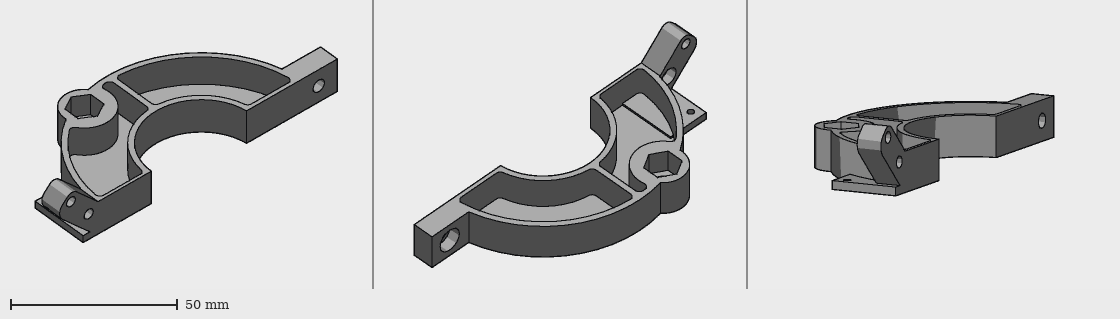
import cadquery as cq

outer_radius = 42.0
inner_radius = 20.1
body_height = 12.7
wall = 2.0
floor_thickness = 2.0
upper_end_x = -2.0
lower_end_x = 0
upper_end_wall = 1.5
lower_end_wall = 1.1
pocket_corner_radius = 1.7

boss_x = -35.9
boss_y = -15.0
boss_radius = 8.0
bolt_diameter = 6.5
nut_across_corners = 11.9
nut_depth = 7.9

block_width = 7.6
block_end_y = 56.4
block_start_y = 40.6
block_hole_y = 49.0
block_hole_diameter = 4.5
block_bore_diameter = 8.0
block_bore_depth = 4.0

plate_length = 21.6
plate_start_y = -32.4
plate_end_y = -47.5
plate_thickness = 2.7
plate_hole_x = -18.1
plate_hole_y = -44.4
plate_hole_diameter = 2.2

lug_width = 8.0
lug_root_y = -40.6
lug_top_y = -41.5
lug_foot_y = -44.8
lug_tip_diff = 75.1
lug_upper_radius = 2.6
lug_lower_radius = 4.1
lug_pivot_y = -45.2
lug_pivot_z = 10.0
lug_pivot_diameter = 3.6
lug_bore_diameter = 6.0
lug_bore_depth = 3.4
lug_tip_hole_y = -52.4
lug_tip_hole_z = 18.7
lug_tip_hole_diameter = 3.5


def box(x_min, x_max, y_min, y_max, z_min, z_max):
    size = (x_max - x_min, y_max - y_min, z_max - z_min)
    return cq.Workplane("XY").box(*size, centered=False).translate((x_min, y_min, z_min))


def cylinder(x, y, z, radius, height):
    return cq.Workplane("XY", origin=(x, y, z)).circle(radius).extrude(height)


def x_cylinder(x, y, z, diameter, depth):
    """Cylinder running from x towards +X."""
    return cq.Workplane("YZ", origin=(x, y, z)).circle(diameter / 2).extrude(depth)


def ring(radius_out, radius_in, z_min):
    profile = cq.Workplane("XY", origin=(0, 0, z_min)).circle(radius_out).circle(radius_in)
    return profile.extrude(body_height - z_min)


def make_body():
    full_ring = ring(outer_radius, inner_radius, 0)
    upper = full_ring.intersect(box(-outer_radius, upper_end_x, 0, outer_radius, 0, body_height))
    lower = full_ring.intersect(box(-outer_radius, lower_end_x, -outer_radius, 0, 0, body_height))
    return upper.union(lower)


def make_pockets():
    channel = ring(outer_radius - wall, inner_radius + wall, floor_thickness)
    upper = channel.intersect(
        box(-outer_radius, upper_end_x - upper_end_wall, wall / 2, outer_radius, 0, body_height)
    )
    lower = channel.intersect(
        box(-outer_radius, lower_end_x - lower_end_wall, -outer_radius, -wall / 2, 0, body_height)
    )
    lower = lower.cut(cylinder(boss_x, boss_y, 0, boss_radius + wall, body_height))
    upper = upper.edges("|Z").fillet(pocket_corner_radius)
    lower = lower.edges("|Z").fillet(pocket_corner_radius)
    return upper.union(lower)


def make_plate():
    return box(lower_end_x - plate_length, lower_end_x, plate_end_y, plate_start_y, 0, plate_thickness)


def make_block():
    return box(upper_end_x - block_width, upper_end_x, block_start_y, block_end_y, 0, body_height)


def make_lug():
    upper_side_sum = body_height + lug_top_y
    lower_side_sum = plate_thickness + lug_foot_y
    upper_tip = ((upper_side_sum - lug_tip_diff) / 2, (upper_side_sum + lug_tip_diff) / 2)
    lower_tip = ((lower_side_sum - lug_tip_diff) / 2, (lower_side_sum + lug_tip_diff) / 2)
    lug = (
        cq.Workplane("YZ", origin=(lower_end_x - lug_width, 0, 0))
        .moveTo(lug_root_y, 0)
        .lineTo(lug_root_y, body_height)
        .lineTo(lug_top_y, body_height)
        .lineTo(*upper_tip)
        .lineTo(*lower_tip)
        .lineTo(lug_foot_y, plate_thickness)
        .lineTo(lug_foot_y, 0)
        .close()
        .extrude(lug_width)
    )
    lug = lug.edges("|X").edges(">Z").fillet(lug_upper_radius)
    return lug.edges("|X").edges("<Y").fillet(lug_lower_radius)


def cut_nut_seat(part):
    bolt_hole = cylinder(boss_x, boss_y, 0, bolt_diameter / 2, body_height)
    nut_seat = (
        cq.Workplane("XY", origin=(boss_x, boss_y, body_height - nut_depth))
        .polygon(6, nut_across_corners)
        .extrude(nut_depth)
    )
    return part.cut(bolt_hole).cut(nut_seat)


def cut_cross_holes(part):
    block_face = upper_end_x - block_width
    lug_face = lower_end_x - lug_width
    holes = (
        (block_face, block_hole_y, body_height / 2, block_hole_diameter, block_width),
        (block_face, block_hole_y, body_height / 2, block_bore_diameter, block_bore_depth),
        (lug_face, lug_pivot_y, lug_pivot_z, lug_pivot_diameter, lug_width),
        (lug_face, lug_pivot_y, lug_pivot_z, lug_bore_diameter, lug_bore_depth),
        (lug_face, lug_tip_hole_y, lug_tip_hole_z, lug_tip_hole_diameter, lug_width),
    )
    for hole in holes:
        part = part.cut(x_cylinder(*hole))
    return part


part = make_body().cut(make_pockets())
part = part.union(cylinder(boss_x, boss_y, 0, boss_radius, body_height))
part = part.union(make_plate()).union(make_block()).union(make_lug())
part = cut_nut_seat(part)
part = part.cut(cylinder(plate_hole_x, plate_hole_y, 0, plate_hole_diameter / 2, plate_thickness))
result = cut_cross_holes(part)